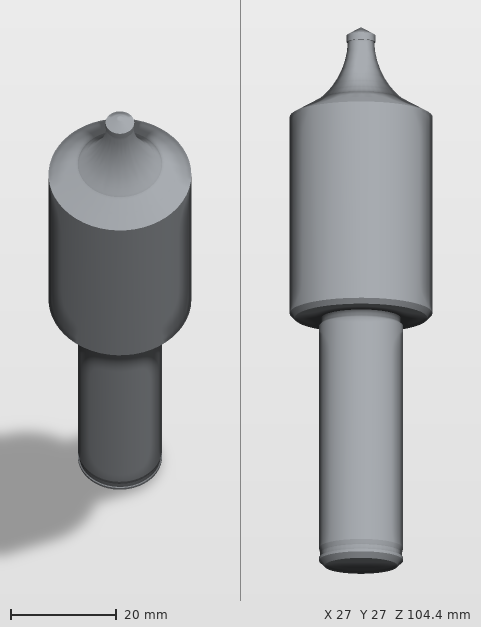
import cadquery as cq
import math

total_height = 104.4
tip_base_z = 101.5
flare_base_z = 90.2
body_base_z = 48.0
shank_top_z = 46.5
groove_top_z = 3.4
groove_base_z = 1.6

tip_radius = 2.7
waist_radius = 5.0 / 2
body_radius = 27.0 / 2
shank_radius = 16.0 / 2
neck_radius = 7.5
groove_radius = 7.7

cone_angle = math.radians(30)
flare_end_angle = math.radians(50)
body_chamfer = 0.9
neck_chamfer = shank_radius - neck_radius
groove_taper_height = 0.9
foot_chamfer = 1.0

tip_cone_base_z = total_height - tip_radius * math.tan(cone_angle)
body_top_z = flare_base_z - (body_radius - shank_radius) * math.tan(cone_angle)

flare_width = shank_radius - waist_radius
flare_height = tip_base_z - flare_base_z
flare_chord = math.hypot(flare_width, flare_height)
chord_angle = math.atan2(flare_width, flare_height)
flare_sag = flare_chord / 2 * math.tan((flare_end_angle - chord_angle) / 2)
flare_mid = (
    (waist_radius + shank_radius) / 2 - flare_sag * math.cos(chord_angle),
    (tip_base_z + flare_base_z) / 2 - flare_sag * math.sin(chord_angle),
)

half_section = (
    cq.Workplane("XZ")
    .moveTo(0, total_height)
    .lineTo(tip_radius, tip_cone_base_z)
    .lineTo(tip_radius, tip_base_z)
    .lineTo(waist_radius, tip_base_z)
    .threePointArc(flare_mid, (shank_radius, flare_base_z))
    .lineTo(body_radius, body_top_z)
    .lineTo(body_radius, body_base_z + body_chamfer)
    .lineTo(body_radius - body_chamfer, body_base_z)
    .lineTo(neck_radius, body_base_z)
    .lineTo(neck_radius, shank_top_z + neck_chamfer)
    .lineTo(shank_radius, shank_top_z)
    .lineTo(shank_radius, groove_top_z)
    .lineTo(groove_radius, groove_top_z - groove_taper_height)
    .lineTo(groove_radius, groove_base_z)
    .lineTo(shank_radius, groove_base_z)
    .lineTo(shank_radius, foot_chamfer)
    .lineTo(shank_radius - foot_chamfer, 0)
    .lineTo(0, 0)
    .close()
)

result = half_section.revolve(360, (0, 0, 0), (0, 1, 0))